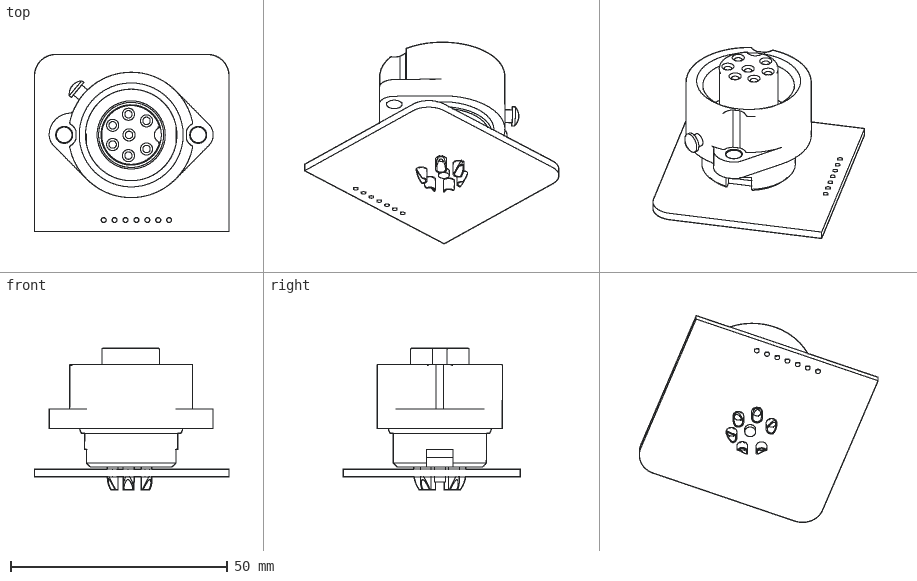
import cadquery as cq
import math


board_width = 45.0
board_left = -22.35
board_back = 18.65
board_depth = 41.0
board_thickness = 1.8
board_corner_radius = 5.0
board_front = board_back - board_depth

via_count = 7
via_pitch = 2.5
via_diameter = 1.1
via_row_center_x = 1.2
via_row_y = -19.65

barrel_bottom = 0.5
shell_bottom = 9.35
floor_level = 13.6
shell_top = 24.2
core_top = 27.95
pin_bottom = -4.75

barrel_diameter = 21.6
barrel_chamfer = 0.9
notch_width = 6.08
notch_top = 4.6
notch_step = 2.65
notch_upper_floor = 8.7
notch_lower_floor = 7.65

flange_seal_height = 1.1
flange_seal_top_radius = 11.92
flange_seal_bottom_radius = 11.48
flange_seal_middle_radius = 11.8

bead_base_radius = 7.88
bead_shoulder_radius = 7.5
bead_inner_radius = 6.98
bead_shoulder_height = 0.55

shell_diameter = 29.0
shell_radius = shell_diameter / 2
bore_diameter = 21.15
bore_chamfer_width = 1.45
bore_chamfer_depth = 1.15
rim_fillet = 0.3

flange_height = 4.6
flange_top = shell_bottom + flange_height
screw_x = 15.5
screw_diameter = 3.6
screw_mouth_diameter = 3.9
lug_radius = 3.45
lug_reach = screw_x + lug_radius
wide_lug_radius = 5.05
lug_blend_radius = 1.0
relief_radius = 2.9
relief_floor = 12.75
relief_edge_fillet = 0.4

core_diameter = 13.6
core_fillet = 0.3
keyway_diameter = 3.6
keyway_x = 7.15
socket_diameter = 1.7
socket_mouth_diameter = 2.8
socket_depth = 5.4
outer_contact_count = 6
contact_circle_radius = 4.8
contact_angle_step = 55.0
center_contact_x = -0.5

pin_diameter = 2.5
pin_radius = pin_diameter / 2
cup_diameter = 2.0
center_pin_bottom = -3.0
cup_cut_start = -1.35
cup_cut_middle = -3.15
cup_cut_middle_depth = 0.55
cup_cut_end_depth = 1.45

button_angle = 140.0
button_height = 13.72
button_shaft_diameter = 3.0
button_head_diameter = 4.5
button_head_inner = 16.15
button_head_outer = 16.8
button_tip = 17.75
button_tip_diameter = 0.7

first_contact_angle = 180 - contact_angle_step * (outer_contact_count - 1) / 2
contact_angles = [first_contact_angle + contact_angle_step * i for i in range(outer_contact_count)]
outer_contacts = [
    (
        contact_circle_radius * math.cos(math.radians(angle)),
        contact_circle_radius * math.sin(math.radians(angle)),
    )
    for angle in contact_angles
]
all_contacts = outer_contacts + [(center_contact_x, 0)]


def cylinder(diameter, bottom, top, centers=((0, 0),)):
    """Upright cylinders of one diameter between two heights."""
    plane = cq.Workplane("XY").workplane(offset=bottom)
    return plane.pushPoints(list(centers)).circle(diameter / 2).extrude(top - bottom)


def countersunk_hole_tool(diameter, mouth_diameter, bottom, top):
    """Drill with a 45 degree cone at its top, standing on the Z axis."""
    radius = diameter / 2
    mouth_radius = mouth_diameter / 2
    cone_depth = mouth_radius - radius
    profile = [(0, bottom), (radius, bottom), (radius, top - cone_depth), (mouth_radius, top), (0, top)]
    return cq.Workplane("XZ").polyline(profile).close().revolve(360, (0, 0), (0, 1))


def make_board():
    """Circuit board with a row of small holes and one hole for each pin."""
    center_x = board_left + board_width / 2
    center_y = board_front + board_depth / 2
    board = (
        cq.Workplane("XY")
        .box(board_width, board_depth, board_thickness, centered=(True, True, False))
        .translate((center_x, center_y, -board_thickness))
        .edges("|Z and >Y")
        .fillet(board_corner_radius)
    )
    first_via_x = via_row_center_x - via_pitch * (via_count - 1) / 2
    vias = [(first_via_x + via_pitch * i, via_row_y) for i in range(via_count)]
    board = board.cut(cylinder(via_diameter, -board_thickness, 0, vias))
    return board.cut(cylinder(pin_diameter, -board_thickness, 0, all_contacts))


def make_barrel():
    """Cylinder under the flange with a stepped notch on both sides."""
    barrel = cylinder(barrel_diameter, barrel_bottom, shell_bottom)
    barrel = barrel.faces("<Z").chamfer(barrel_chamfer)
    barrel_radius = barrel_diameter / 2
    notch_profile = [
        (barrel_radius, barrel_bottom),
        (notch_lower_floor, barrel_bottom),
        (notch_lower_floor, notch_step),
        (notch_upper_floor, notch_step),
        (notch_upper_floor, notch_top),
        (barrel_radius, notch_top),
    ]
    notch = cq.Workplane("XZ").polyline(notch_profile).close().extrude(notch_width / 2, both=True)
    return barrel.cut(notch).cut(notch.mirror("YZ"))


def make_flange_seal():
    """Ring under the flange, curving inward towards its flat bottom."""
    inner = barrel_diameter / 2
    bottom = shell_bottom - flange_seal_height
    middle = (flange_seal_middle_radius, shell_bottom - flange_seal_height / 2)
    return (
        cq.Workplane("XZ")
        .moveTo(inner, shell_bottom)
        .lineTo(flange_seal_top_radius, shell_bottom)
        .threePointArc(middle, (flange_seal_bottom_radius, bottom))
        .lineTo(inner, bottom)
        .close()
        .revolve(360, (0, 0), (0, 1))
    )


def make_bore_seal():
    """Round-topped bead with a sloped outer foot, on the bore floor around the core."""
    shoulder = floor_level + bead_shoulder_height
    crown_radius = (bead_shoulder_radius - bead_inner_radius) / 2
    crown = (bead_inner_radius + crown_radius, shoulder + crown_radius)
    return (
        cq.Workplane("XZ")
        .moveTo(bead_inner_radius, floor_level)
        .lineTo(bead_base_radius, floor_level)
        .lineTo(bead_shoulder_radius, shoulder)
        .threePointArc(crown, (bead_inner_radius, shoulder))
        .close()
        .revolve(360, (0, 0), (0, 1))
    )


def make_shell():
    """Cup with a chamfered bore and a screw head relief above each lug."""
    envelope = cylinder(shell_diameter, shell_bottom, shell_top).faces(">Z").edges().fillet(rim_fillet)

    screws = [(-screw_x, 0), (screw_x, 0)]
    reliefs = cylinder(2 * relief_radius, flange_top, shell_top, screws)
    kept_middle = (
        cq.Workplane("XY")
        .workplane(offset=flange_top)
        .rect(2 * relief_floor, shell_diameter)
        .extrude(shell_top - flange_top)
    )
    upper = cylinder(shell_diameter, flange_top, shell_top).cut(reliefs.cut(kept_middle))
    mouth_x = (shell_radius**2 + screw_x**2 - relief_radius**2) / (2 * screw_x)
    mouth_y = math.sqrt(shell_radius**2 - mouth_x**2)
    middle_z = (flange_top + shell_top) / 2
    for x in (-mouth_x, mouth_x):
        for y in (-mouth_y, mouth_y):
            mouth_edge = cq.selectors.NearestToPointSelector((x, y, middle_z))
            upper = upper.edges("|Z").edges(mouth_edge).fillet(relief_edge_fillet)

    lower = cylinder(shell_diameter, shell_bottom, flange_top)
    shell = lower.union(upper).intersect(envelope)

    bore_radius = bore_diameter / 2
    chamfer_bottom = shell_top - bore_chamfer_depth
    bore_profile = [
        (0, floor_level),
        (bore_radius, floor_level),
        (bore_radius, chamfer_bottom),
        (bore_radius + bore_chamfer_width, shell_top),
        (0, shell_top),
    ]
    bore = cq.Workplane("XZ").polyline(bore_profile).close().revolve(360, (0, 0), (0, 1))
    return shell.cut(bore)


def blend_middle(center_x, center_y, start, end):
    """Middle point of the blend arc between two points on it."""
    toward_x = (start[0] + end[0]) / 2 - center_x
    toward_y = (start[1] + end[1]) / 2 - center_y
    scale = lug_blend_radius / math.hypot(toward_x, toward_y)
    return (center_x + toward_x * scale, center_y + toward_y * scale)


def make_lugs():
    """Two screw lugs; three sides run tangent into the shell, the left back side is rounded."""
    tangent_cos = (shell_radius - lug_radius) / screw_x
    tangent_sin = math.sqrt(1 - tangent_cos**2)
    shell_x = shell_radius * tangent_cos
    shell_y = shell_radius * tangent_sin
    lug_x = screw_x + lug_radius * tangent_cos
    lug_y = lug_radius * tangent_sin

    right_lug = (
        cq.Workplane("XY")
        .workplane(offset=shell_bottom)
        .moveTo(shell_x, shell_y)
        .lineTo(lug_x, lug_y)
        .threePointArc((lug_reach, 0), (lug_x, -lug_y))
        .lineTo(shell_x, -shell_y)
        .close()
        .extrude(flange_height)
    )

    wide_center_x = wide_lug_radius - lug_reach
    shell_to_blend = shell_radius + lug_blend_radius
    wide_to_blend = wide_lug_radius + lug_blend_radius
    blend_x = (shell_to_blend**2 - wide_to_blend**2 + wide_center_x**2) / (2 * wide_center_x)
    blend_y = math.sqrt(shell_to_blend**2 - blend_x**2)
    blend_on_shell = (blend_x * shell_radius / shell_to_blend, blend_y * shell_radius / shell_to_blend)
    wide_share = wide_lug_radius / wide_to_blend
    blend_on_lug = (wide_center_x + (blend_x - wide_center_x) * wide_share, blend_y * wide_share)

    left_lug = (
        cq.Workplane("XY")
        .workplane(offset=shell_bottom)
        .moveTo(-shell_x, -shell_y)
        .lineTo(-lug_x, -lug_y)
        .tangentArcPoint((-lug_reach, 0), relative=False)
        .tangentArcPoint(blend_on_lug, relative=False)
        .threePointArc(blend_middle(blend_x, blend_y, blend_on_shell, blend_on_lug), blend_on_shell)
        .lineTo(-shell_x, 0)
        .close()
        .extrude(flange_height)
    )
    return right_lug.union(left_lug)


def make_core():
    """Socket insert with a round keyway and countersunk contact holes."""
    core = cylinder(core_diameter, floor_level, core_top)
    core = core.cut(cylinder(keyway_diameter, floor_level, core_top, [(keyway_x, 0)]))
    core = core.faces(">Z").edges().fillet(core_fillet)
    socket_bottom = core_top - socket_depth
    socket = countersunk_hole_tool(socket_diameter, socket_mouth_diameter, socket_bottom, core_top)
    for x, y in all_contacts:
        core = core.cut(socket.translate((x, y, 0)))
    return core


def make_solder_pin():
    """Solder cup pin on the Z axis; its +X side is cut away in a curve to open the cup."""
    pin = cylinder(pin_diameter, pin_bottom, barrel_bottom)
    pin = pin.cut(cylinder(cup_diameter, pin_bottom, -board_thickness))
    opening = (
        cq.Workplane("XZ")
        .moveTo(pin_radius, cup_cut_start)
        .threePointArc(
            (pin_radius - cup_cut_middle_depth, cup_cut_middle),
            (pin_radius - cup_cut_end_depth, pin_bottom),
        )
        .lineTo(pin_radius, pin_bottom)
        .close()
        .extrude(pin_radius, both=True)
    )
    return pin.cut(opening)


def make_button():
    """Domed button on a round shaft, standing out sideways from the shell."""
    shaft_radius = button_shaft_diameter / 2
    head_radius = button_head_diameter / 2
    tip_radius = button_tip_diameter / 2
    rise = button_tip - button_head_outer
    dome_radius = (head_radius**2 + rise**2) / (2 * rise)
    middle_radius = head_radius / 2
    dome_center = button_tip - dome_radius
    dome_middle = dome_center + math.sqrt(dome_radius**2 - middle_radius**2)
    tip_level = dome_center + math.sqrt(dome_radius**2 - tip_radius**2)
    root = bore_diameter / 2 + bore_chamfer_width
    button = (
        cq.Workplane("XY")
        .moveTo(root, 0)
        .lineTo(root, shaft_radius)
        .lineTo(button_head_inner, shaft_radius)
        .lineTo(button_head_inner, head_radius)
        .lineTo(button_head_outer, head_radius)
        .threePointArc((dome_middle, middle_radius), (tip_level, tip_radius))
        .lineTo(tip_level, 0)
        .close()
        .revolve(360, (0, 0), (1, 0))
    )
    return button.translate((0, 0, button_height)).rotate((0, 0, 0), (0, 0, 1), button_angle)


def make_connector():
    """Connector body with its core, seals, button and solder pins in one solid."""
    connector = make_shell().union(make_lugs()).union(make_barrel())
    connector = connector.union(make_flange_seal())
    connector = connector.union(make_core()).union(make_bore_seal()).union(make_button())
    screw_hole = countersunk_hole_tool(screw_diameter, screw_mouth_diameter, shell_bottom, flange_top)
    for x in (-screw_x, screw_x):
        connector = connector.cut(screw_hole.translate((x, 0, 0)))
    solder_pin = make_solder_pin()
    for angle, (x, y) in zip(contact_angles, outer_contacts):
        connector = connector.union(solder_pin.rotate((0, 0, 0), (0, 0, 1), angle).translate((x, y, 0)))
    center_pin = cylinder(pin_diameter, center_pin_bottom, barrel_bottom, [(center_contact_x, 0)])
    return connector.union(center_pin)


board = make_board()
connector = make_connector()

result = cq.Compound.makeCompound([board.val(), *connector.vals()])